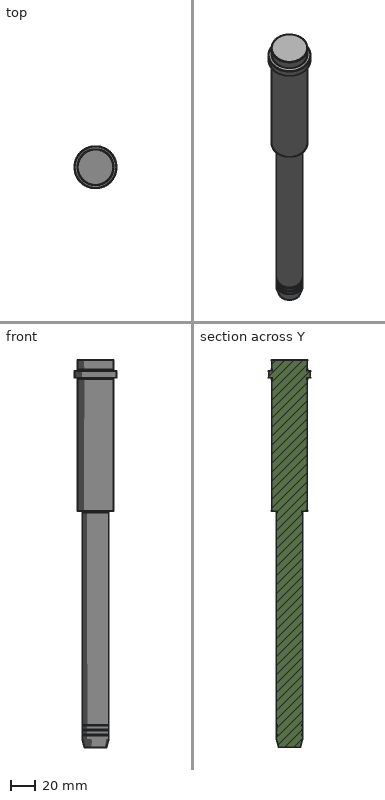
import cadquery as cq
import math

total_length = 320.0
head_diameter = 30.0
head_length = 125.0
edge_chamfer = 0.5

collar_diameter = 35.0
collar_thickness = 6.0
collar_top_drop = 9.0

rod_diameter = 22.0
tip_length = 7.0
tip_half_angle = 15.0
tip_edge_radius = 0.5

relief_width = 1.0
relief_depth = 0.5

groove_radius = 0.5
rod_groove_count = 3
rod_groove_pitch = 4.0
first_rod_groove_height = 10.5

head_bottom = total_length - head_length
relief_bottom = head_bottom - relief_width
relief_diameter = rod_diameter - 2 * relief_depth
collar_top = total_length - collar_top_drop
collar_bottom = collar_top - collar_thickness
tip_diameter = rod_diameter - 2 * tip_length * math.tan(math.radians(tip_half_angle))


def make_cylinder(diameter, bottom, top):
    """Solid cylinder on the Z axis between two heights."""
    return cq.Workplane("XY").workplane(offset=bottom).circle(diameter / 2).extrude(top - bottom)


def make_tip():
    """Cone that widens up to the rod, with a rounded bottom edge."""
    cone = (
        cq.Workplane("XY")
        .circle(tip_diameter / 2)
        .workplane(offset=tip_length)
        .circle(rod_diameter / 2)
        .loft(ruled=True)
    )
    return cone.faces("<Z").edges().fillet(tip_edge_radius)


def make_rod():
    """Tapered tip, plain rod and the thinner relief that meets the head."""
    shaft = make_cylinder(rod_diameter, tip_length, relief_bottom)
    relief = make_cylinder(relief_diameter, relief_bottom, head_bottom)
    return make_tip().union(shaft).union(relief)


def make_head():
    """Head with both end edges chamfered."""
    head = make_cylinder(head_diameter, head_bottom, total_length)
    return head.faces("<Z or >Z").edges().chamfer(edge_chamfer)


def make_collar():
    """Collar with only its upper edge chamfered."""
    collar = make_cylinder(collar_diameter, collar_bottom, collar_top)
    return collar.faces(">Z").edges().chamfer(edge_chamfer)


def make_groove_cutter(diameter, height):
    """Ring with a round section, centred on the surface of a cylinder of this diameter."""
    return (
        cq.Workplane("XZ")
        .center(diameter / 2, height)
        .circle(groove_radius)
        .revolve(360, (-diameter / 2, 0), (-diameter / 2, 1))
    )


rod = make_rod()
for index in range(rod_groove_count):
    groove_height = first_rod_groove_height + index * rod_groove_pitch
    rod = rod.cut(make_groove_cutter(rod_diameter, groove_height))

head = make_head()
for groove_height in (collar_bottom - groove_radius, collar_top + groove_radius):
    head = head.cut(make_groove_cutter(head_diameter, groove_height))

result = rod.union(head).union(make_collar())